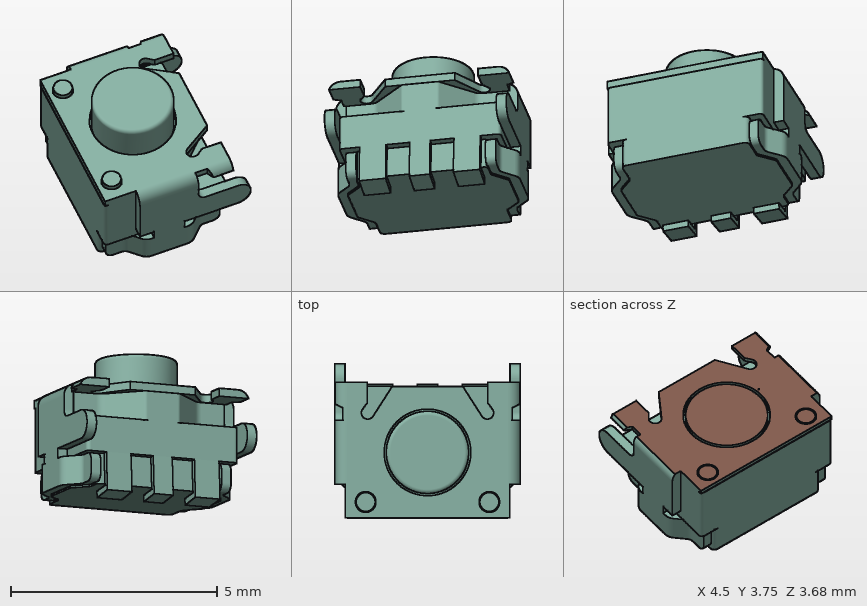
import cadquery as cq
import math

overall_x = 4.5
sheet = 0.25
body_x = overall_x - 2 * sheet
body_front = -1.598
body_back = 1.6
body_corner = 0.1
plate_top = 2.54
plate_thickness = 0.2
plate_bottom = plate_top - plate_thickness
plate_front = -1.59
plate_back = 1.595

button_d = 2.0
button_top = 3.39
button_edge = 0.1
button_hole_d = 2.1
pin_d = 0.46
pin_hole_d = 0.5
pin_height = 0.1
pin_x = 1.5
pin_y = -1.2

step_z = 0.75
base_end_x = 1.63
base_back = 1.39
base_crown_half = 0.545
base_crown_r = 0.1
base_root_r = 0.125
base_front_corner = 0.125
base_back_corner = 0.1

ledge_z = 1.62
recess_wall_y = 0.765
recess_knee_x = 1.282
recess_fillet = 0.25

bend_r = 0.3
wall_half = 0.775
neck_half = 0.4
arm_tip_y = 2.15
arm_bottom = 0.99
arm_width = 0.7
arm_top = arm_bottom + arm_width
arm_r = arm_width / 2
arm_root_fillet = 0.2
tab_back = 1.7
tab_inner_x = 1.46
notch_x = 2.05
notch_inner_y = 1.08
notch_outer_y = 1.18

slot_x = 1.45
slot_y = 0.96
slot_r = 0.155
slot_neck_y = 1.2
slot_mouth_x = 0.86
slot_outer_angle = math.radians(38)
slot_inner_angle = math.radians(33)

strap_bottom = 0.05
strap_half_length = 1.505
strap_crown_half = 0.475
strap_crown_r = bend_r
strap_end_x = 1.855
strap_root_r = 0.2
strap_corner = 0.2

side_terminal_x = 1.165
side_terminal_width = 0.652
middle_terminal_width = 0.505
terminal_thickness = 0.15
leg_lean = 0.055
heel_z = -0.195
toe_y = 1.045
toe_z = -0.285
toe_rise = 0.16
toe_set_back = 0.02
inner_heel_z = -0.065
terminal_anchor = 0.18


def block(x0, x1, y0, y1, z0, z1):
    """Axis-aligned box between two corners."""
    return cq.Workplane("XY").box(x1 - x0, y1 - y0, z1 - z0, centered=False).translate((x0, y0, z0))


def post(x, y, diameter, z0, z1):
    """Upright cylinder centred on (x, y)."""
    return cq.Workplane("XY").workplane(offset=z0).center(x, y).circle(diameter / 2).extrude(z1 - z0)


def both_sides(shape):
    """Shape joined with its mirror image across the YZ plane."""
    return shape.union(shape.mirror("YZ"))


def joggled_block(crown_x, crown_half, crown_r, end_x, root_r, front, back, z0, z1):
    """Prism whose sides bulge to crown_x in the middle and step in at 45 degrees to end_x."""
    slope = math.pi / 4
    sine = math.sin(slope)
    rise = 1 - math.cos(slope)
    half_sine = math.sin(slope / 2)
    half_rise = 1 - math.cos(slope / 2)
    crown_end = (crown_x - crown_r * rise, crown_half + crown_r * sine)
    root_x = end_x + root_r * rise
    root_start = (root_x, crown_end[1] + crown_end[0] - root_x)
    root_end = (end_x, root_start[1] + root_r * sine)
    crown_mid = (crown_x - crown_r * half_rise, crown_half + crown_r * half_sine)
    root_mid = (end_x + root_r * half_rise, root_end[1] - root_r * half_sine)

    def place(point, side, end):
        return (side * point[0], end * point[1])

    def out_to_crown(wire, side, end):
        wire = wire.lineTo(*place(root_end, side, end))
        wire = wire.threePointArc(place(root_mid, side, end), place(root_start, side, end))
        wire = wire.lineTo(*place(crown_end, side, end))
        return wire.threePointArc(place(crown_mid, side, end), (side * crown_x, end * crown_half))

    def in_from_crown(wire, side, end):
        wire = wire.lineTo(side * crown_x, end * crown_half)
        wire = wire.threePointArc(place(crown_mid, side, end), place(crown_end, side, end))
        wire = wire.lineTo(*place(root_start, side, end))
        return wire.threePointArc(place(root_mid, side, end), place(root_end, side, end))

    wire = cq.Workplane("XY").workplane(offset=z0).moveTo(end_x, front)
    wire = in_from_crown(out_to_crown(wire, 1, -1), 1, 1)
    wire = wire.lineTo(end_x, back).lineTo(-end_x, back)
    wire = in_from_crown(out_to_crown(wire, -1, 1), -1, -1)
    return wire.lineTo(-end_x, front).close().extrude(z1 - z0)


def make_body():
    """Moulded upper body with a recess in each rear top corner."""
    half = body_x / 2
    body = block(-half, half, body_front, body_back, step_z, plate_bottom)
    body = body.edges("|Z").fillet(body_corner)
    reach = tab_back - recess_wall_y
    recess = (
        cq.Workplane("XY")
        .workplane(offset=ledge_z)
        .polyline([
            (overall_x / 2, recess_wall_y),
            (recess_knee_x, recess_wall_y),
            (recess_knee_x - reach, tab_back),
            (overall_x / 2, tab_back),
        ])
        .close()
        .extrude(plate_bottom - ledge_z)
    )
    knee = cq.NearestToPointSelector((recess_knee_x, recess_wall_y, (ledge_z + plate_bottom) / 2))
    recess = recess.edges(knee).fillet(recess_fillet)
    body = body.cut(both_sides(recess))
    crest_x = recess_knee_x - (body_back - recess_wall_y)
    for side in (-1, 1):
        crest = cq.NearestToPointSelector((side * crest_x, body_back, (ledge_z + plate_bottom) / 2))
        body = body.edges(crest).fillet(body_corner)
    return body


def make_base():
    """Narrow lower body, stepped in at its ends to clear the straps."""
    base = joggled_block(
        body_x / 2, base_crown_half, base_crown_r, base_end_x, base_root_r,
        body_front, base_back, 0, step_z,
    )
    base = base.faces("<Y").edges("|Z").fillet(base_front_corner)
    return base.faces(">Y").edges("|Z").fillet(base_back_corner)


def make_straps():
    """Joggled sheet straps along both sides of the base."""
    ends = (-strap_half_length, strap_half_length, strap_bottom, step_z)
    outer = joggled_block(
        overall_x / 2, strap_crown_half, strap_crown_r, strap_end_x, strap_root_r, *ends
    )
    inner = joggled_block(
        body_x / 2, strap_crown_half, strap_crown_r - sheet,
        strap_end_x - sheet, strap_root_r + sheet, *ends
    )
    return outer.cut(inner).edges("|X").fillet(strap_corner)


def make_walls():
    """Side walls with a rear arm and a neck down to the strap."""
    fillet_mid = arm_root_fillet * (1 - math.cos(math.pi / 4))
    outline = (
        cq.Workplane("YZ")
        .moveTo(-wall_half, plate_top)
        .lineTo(-wall_half, arm_bottom)
        .lineTo(-neck_half, arm_bottom)
        .lineTo(-neck_half, step_z)
        .lineTo(neck_half, step_z)
        .lineTo(neck_half, arm_bottom)
        .lineTo(arm_tip_y - arm_r, arm_bottom)
        .threePointArc((arm_tip_y, arm_bottom + arm_r), (arm_tip_y - arm_r, arm_top))
        .lineTo(wall_half + arm_root_fillet, arm_top)
        .threePointArc(
            (wall_half + fillet_mid, arm_top + fillet_mid),
            (wall_half, arm_top + arm_root_fillet),
        )
        .lineTo(wall_half, plate_top)
        .close()
    )
    wall = outline.extrude(sheet).translate((body_x / 2, 0, 0))
    return both_sides(wall)


def make_plate():
    """Top plate with rear tabs, corner notches, slots and holes."""
    plate = block(-body_x / 2, body_x / 2, plate_front, plate_back, plate_bottom, plate_top)
    rear = block(tab_inner_x, overall_x / 2, wall_half, tab_back, plate_bottom, plate_top)
    notch = (
        cq.Workplane("XY")
        .workplane(offset=plate_bottom)
        .polyline([
            (overall_x / 2, wall_half),
            (notch_x, wall_half),
            (notch_x, notch_inner_y),
            (overall_x / 2, notch_outer_y),
        ])
        .close()
        .extrude(plate_thickness)
    )
    outer_tangent = (
        slot_x + slot_r * math.cos(slot_outer_angle),
        slot_y + slot_r * math.sin(slot_outer_angle),
    )
    inner_tangent = (
        slot_x - slot_r * math.cos(slot_inner_angle),
        slot_y - slot_r * math.sin(slot_inner_angle),
    )
    slot = (
        cq.Workplane("XY")
        .workplane(offset=plate_bottom)
        .polyline([
            (tab_inner_x, plate_back),
            (tab_inner_x, slot_neck_y),
            outer_tangent,
            inner_tangent,
            (slot_mouth_x, plate_back),
        ])
        .close()
        .extrude(plate_thickness)
    )
    slot = slot.union(post(slot_x, slot_y, 2 * slot_r, plate_bottom, plate_top))
    plate = plate.union(both_sides(rear.cut(notch))).cut(both_sides(slot))
    plate = plate.cut(post(0, 0, button_hole_d, plate_bottom, plate_top))
    return plate.cut(both_sides(post(pin_x, pin_y, pin_hole_d, plate_bottom, plate_top)))


def make_cover():
    """Plate and side walls as one folded sheet with rounded bends."""
    half = overall_x / 2
    envelope = block(-half, half, plate_front, arm_tip_y, step_z, plate_top)
    envelope = envelope.edges("|Y and >Z").fillet(bend_r)
    return make_plate().union(make_walls()).intersect(envelope)


def make_terminal(center_x, width):
    """Leg that leans back below the body and folds forward into a sloping foot."""
    root_inner_y = body_back - terminal_thickness
    heel_y = body_back + leg_lean
    outline = [
        (body_back, step_z + terminal_anchor),
        (body_back, step_z),
        (heel_y, heel_z),
        (toe_y, toe_z),
        (toe_y - toe_set_back, toe_z + toe_rise),
        (heel_y - terminal_thickness, inner_heel_z),
        (root_inner_y, step_z),
        (root_inner_y, step_z + terminal_anchor),
    ]
    leg = cq.Workplane("YZ").polyline(outline).close().extrude(width)
    return leg.translate((center_x - width / 2, 0, 0))


button = post(0, 0, button_d, step_z, button_top).faces(">Z").edges().fillet(button_edge)
pins = both_sides(post(pin_x, pin_y, pin_d, step_z, plate_top + pin_height))

result = make_body().union(make_base()).union(make_straps()).union(make_cover())
result = result.union(button).union(pins)
result = result.union(make_terminal(0, middle_terminal_width))
for side in (-1, 1):
    result = result.union(make_terminal(side * side_terminal_x, side_terminal_width))